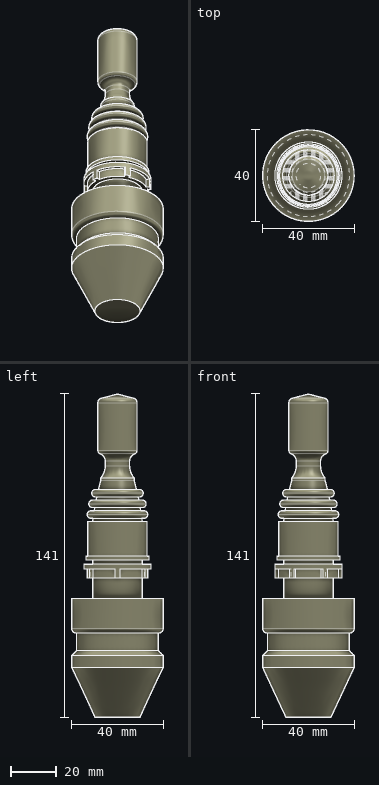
import cadquery as cq

PLUG_TOP = 51.9
PLUG_NECK_TOP = 36.7
PLUG_NECK_BOTTOM = 29.0
PLUG_RIM_TOP = 27.0
PLUG_CONE_TOP = 21.7
LOCK_RING_BOTTOM = 60.6
LOCK_RING_TOP = 66.8
LOCK_NOTCH_TOP = 64.6
FLANGE_BOTTOM = 68.5
FLANGE_TOP = 70.2
BUSHING_TOP = 85.5
BOOT_LIP_BOTTOM = 103.2
BOOT_LIP_TOP = 104.3
NECK_BOTTOM = 109.5
NECK_TOP = 111.7
KNOB_UNDERSIDE = 114.9
KNOB_BOTTOM = 116.3
KNOB_SIDE_TOP = 137.0
KNOB_CONE_BOTTOM = 139.2
OVERALL_HEIGHT = 141.0

PLUG_RADIUS = 20.0
PLUG_NECK_RADIUS = 17.9
PLUG_TIP_RADIUS = 9.9
PLUG_EDGE_ROUND = PLUG_RADIUS - PLUG_NECK_RADIUS
STEM_RADIUS = 10.9
BUSHING_RADIUS = 13.0
FLANGE_RADIUS = 13.8
LOCK_RING_RADIUS = 14.7
LOCK_NOTCH_RADIUS = 13.1
BOOT_MIDDLE_RADIUS = 9.5
BOOT_LIP_RADIUS = 7.3
NECK_RADIUS = 5.4
KNOB_UNDERSIDE_RADIUS = 7.8
KNOB_RADIUS = 8.6
KNOB_CONE_RADIUS = 7.0

BELLOWS_RINGS = [(11.3, 97.7), (12.5, 93.0), (13.3, 88.4)]
BELLOWS_TUBE_RADIUS = 1.7

RING_BORE_RADIUS = BOOT_LIP_RADIUS / 2

RIB_COUNT = 6
RIB_WIDTH = 2.3


def ring(outer_radius, inner_radius, bottom, top):
    """Flat ring about the Z axis."""
    outline = cq.Workplane("XY").workplane(offset=bottom).circle(outer_radius).circle(inner_radius)
    return outline.extrude(top - bottom)


def revolve_outline(outline):
    """Turn a closed (radius, height) outline about the Z axis."""
    return outline.close().revolve(360, (0, 0, 0), (0, 1, 0))


def flare_radius(widening, height):
    """Radius of an arc that leaves a cylinder tangentially and widens over the given height."""
    return (widening**2 + height**2) / (2 * widening)


def make_plug():
    """Tapered plug with a waist below its wide head."""
    outline = (
        cq.Workplane("XZ")
        .lineTo(PLUG_TIP_RADIUS, 0)
        .lineTo(PLUG_RADIUS, PLUG_CONE_TOP)
        .lineTo(PLUG_RADIUS, PLUG_RIM_TOP)
        .lineTo(PLUG_NECK_RADIUS, PLUG_NECK_BOTTOM)
        .lineTo(PLUG_NECK_RADIUS, PLUG_NECK_TOP)
        .radiusArc((PLUG_RADIUS, PLUG_NECK_TOP + PLUG_EDGE_ROUND), -PLUG_EDGE_ROUND)
        .lineTo(PLUG_RADIUS, PLUG_TOP)
        .lineTo(0, PLUG_TOP)
    )
    return revolve_outline(outline)


def make_core():
    """Turned shape of the lever, without bellows rings and lock ring."""
    boot_middle = (BUSHING_TOP + BOOT_LIP_BOTTOM) / 2
    knob_round = KNOB_RADIUS - KNOB_UNDERSIDE_RADIUS
    boot_flare = flare_radius(BOOT_LIP_RADIUS - NECK_RADIUS, NECK_BOTTOM - BOOT_LIP_TOP)
    knob_flare = flare_radius(KNOB_UNDERSIDE_RADIUS - NECK_RADIUS, KNOB_UNDERSIDE - NECK_TOP)
    outline = (
        cq.Workplane("XZ")
        .moveTo(0, PLUG_TOP)
        .lineTo(STEM_RADIUS, PLUG_TOP)
        .lineTo(STEM_RADIUS, FLANGE_BOTTOM)
        .lineTo(FLANGE_RADIUS, FLANGE_BOTTOM)
        .lineTo(FLANGE_RADIUS, FLANGE_TOP)
        .lineTo(BUSHING_RADIUS, FLANGE_TOP)
        .lineTo(BUSHING_RADIUS, BUSHING_TOP)
        .lineTo(STEM_RADIUS, BUSHING_TOP)
        .threePointArc((BOOT_MIDDLE_RADIUS, boot_middle), (BOOT_LIP_RADIUS, BOOT_LIP_BOTTOM))
        .lineTo(BOOT_LIP_RADIUS, BOOT_LIP_TOP)
        .radiusArc((NECK_RADIUS, NECK_BOTTOM), boot_flare)
        .lineTo(NECK_RADIUS, NECK_TOP)
        .radiusArc((KNOB_UNDERSIDE_RADIUS, KNOB_UNDERSIDE), knob_flare)
        .radiusArc((KNOB_RADIUS, KNOB_BOTTOM), -2 * knob_round)
        .lineTo(KNOB_RADIUS, KNOB_SIDE_TOP)
        .radiusArc((KNOB_CONE_RADIUS, KNOB_CONE_BOTTOM), -(KNOB_CONE_BOTTOM - KNOB_SIDE_TOP))
        .lineTo(0, OVERALL_HEIGHT)
    )
    return revolve_outline(outline)


def make_bellows_ring(outer_radius, height):
    """Round-edged ring, thick enough to reach into the boot."""
    centre_radius = outer_radius - BELLOWS_TUBE_RADIUS
    bottom = height - BELLOWS_TUBE_RADIUS
    top = height + BELLOWS_TUBE_RADIUS
    disc = ring(centre_radius, RING_BORE_RADIUS, bottom, top)
    tube = cq.Workplane("XZ").center(centre_radius, height).circle(BELLOWS_TUBE_RADIUS)
    return disc.union(tube.revolve(360, (-centre_radius, 0, 0), (-centre_radius, 1, 0)))


def make_lock_ring():
    """Ring with evenly spaced ribs left standing between notches in its lower edge."""
    lock_ring = ring(LOCK_RING_RADIUS, RING_BORE_RADIUS, LOCK_RING_BOTTOM, LOCK_RING_TOP)
    notches = ring(LOCK_RING_RADIUS, LOCK_NOTCH_RADIUS, LOCK_RING_BOTTOM, LOCK_NOTCH_TOP)
    for i in range(RIB_COUNT):
        rib = (
            cq.Workplane("XY")
            .workplane(offset=LOCK_RING_BOTTOM)
            .center(LOCK_RING_RADIUS, 0)
            .rect(LOCK_RING_RADIUS, RIB_WIDTH)
            .extrude(LOCK_NOTCH_TOP - LOCK_RING_BOTTOM)
            .rotate((0, 0, 0), (0, 0, 1), i * 360 / RIB_COUNT)
        )
        notches = notches.cut(rib)
    return lock_ring.cut(notches)


def make_lever():
    """Knob, boot, bushing and stem, standing on the plug."""
    lever = make_core().union(make_lock_ring())
    for outer_radius, height in BELLOWS_RINGS:
        lever = lever.union(make_bellows_ring(outer_radius, height))
    return lever


plug = make_plug()
lever = make_lever()
result = cq.Compound.makeCompound([plug.val(), *lever.solids().vals()])